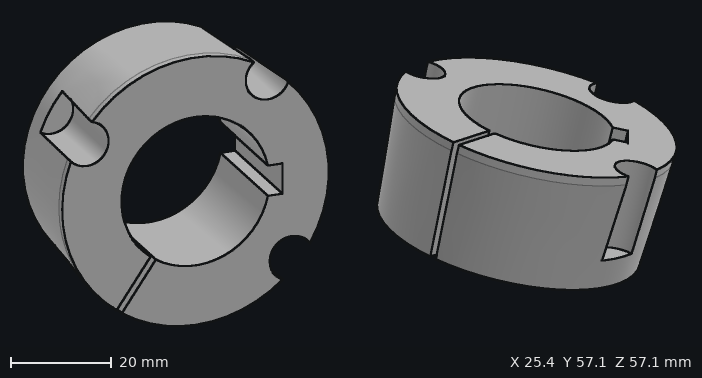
import cadquery as cq
import math

length = 25.4
outer_radius = 28.55
small_end_radius = 26.85
rim_length = 1.8
bore_radius = 15.8

keyway_width = 6.45
keyway_reach = 18.6

screw_radius = 4.7
screw_circle_radius = 26.9
through_screw_angle = 55.0
blind_screw_spacing = 95.0
blind_screw_start = 6.45

split_width = 1.35
split_angle = through_screw_angle + 180


def tapered_body():
    profile = [
        (0, bore_radius),
        (0, small_end_radius),
        (length - rim_length, outer_radius),
        (length, outer_radius),
        (length, bore_radius),
    ]
    return cq.Workplane("XY").polyline(profile).close().revolve(360, (0, 0), (1, 0))


def screw_groove(angle, start):
    """Round axial groove from X = start out through the large end."""
    y = screw_circle_radius * math.cos(math.radians(angle))
    z = screw_circle_radius * math.sin(math.radians(angle))
    return (
        cq.Workplane("YZ", origin=(start, 0, 0))
        .center(y, z)
        .circle(screw_radius)
        .extrude(length - start)
    )


def radial_slot(width, reach, angle):
    """Full-length slot from the axis outwards."""
    slot = cq.Workplane("XY").box(length, reach, width, centered=(False, False, True))
    return slot.rotate((0, 0, 0), (1, 0, 0), angle)


result = tapered_body()
result = result.cut(radial_slot(keyway_width, keyway_reach, 0))
result = result.cut(radial_slot(split_width, 2 * outer_radius, split_angle))
result = result.cut(screw_groove(through_screw_angle, 0))
for side in (-1, 1):
    blind_angle = through_screw_angle + side * blind_screw_spacing
    result = result.cut(screw_groove(blind_angle, blind_screw_start))